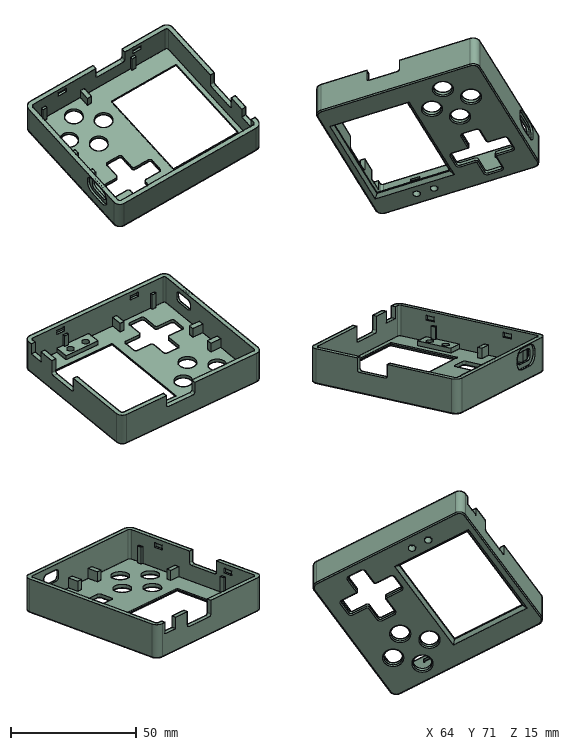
import cadquery as cq
LENGTH = 71.0
WIDTH = 64.0
HEIGHT = 15.0
WALL = 2.0
FLOOR = 2.0
OUTER_RADIUS = 3.0
INNER_RADIUS = OUTER_RADIUS - WALL
BOTTOM_CHAMFER = 0.5
INNER_X = WIDTH / 2 - WALL
INNER_Y = LENGTH / 2 - WALL

WINDOW_WIDTH = 42.3
WINDOW_LENGTH = 31.9
WINDOW_Y = 15.55
WINDOW_BEVEL = 1.35

CONTROLS_Y = -17.05
BUTTON_DIAMETER = 7.5
BUTTON_CENTRE_X = -15.3
BUTTON_OFFSET = 8.5
PAD_X = 15.3
PAD_SPAN = 24.6
PAD_ARM = 7.5
PAD_RADIUS = 1.0

BLOCK_WIDTH = 6.1
BLOCK_LENGTH = 16.0
BLOCK_HEIGHT = 2.0
BLOCK_Y = 12.65
BLOCK_HOLE_DIAMETER = 3.0
BLOCK_HOLE_X = 26.5
BLOCK_HOLE_SPACING = 7.6

SIDE_RIB_LENGTH = 4.9
RIB_TOP = 6.4
SIDE_RIB_THICKNESS = 2.0
SIDE_RIB_Y = -8.4
FRONT_RIB_LENGTH = 5.0
FRONT_RIB_THICKNESS = 2.3
FRONT_RIB_X = 5.95

POST_DEPTH = 1.0
POST_THICKNESS = 2.0
POST_TOP = 9.4
POST_YS = (16.5, -27.5)

SNAP_LENGTH = 4.0
SNAP_DEPTH = 1.0
SNAP_BOTTOM = 11.0
SNAP_HEIGHT = 2.0
SNAP_YS = (18.7, -18.25)

NOTCH_WIDTH = 14.2
SIDE_NOTCH_DEPTH = 5.95
BACK_NOTCH_DEPTH = 6.95
NOTCH_RADIUS = 1.0
SIDE_NOTCH_Y = 5.5
BACK_NOTCH_X = 6.6
SMALL_NOTCH_WIDTH = 6.4
SMALL_NOTCH_DEPTH = 5.05
SMALL_NOTCH_X = 24.1

PORT_X = 17.55
PORT_Z = 10.0
PORT_WIDTH = 9.0
PORT_HEIGHT = 5.05
PORT_RADIUS = 1.7
PORT_MARGIN = 2.0
PORT_RECESS_DEPTH = WALL / 2


def block(x_range, y_range, z_range):
    """Axis-aligned box between the given limits."""
    size = [high - low for low, high in (x_range, y_range, z_range)]
    corner = (x_range[0], y_range[0], z_range[0])
    return cq.Workplane("XY").box(*size, centered=False).translate(corner)


def around(centre, size):
    """Limits of a span of the given size about its centre."""
    return (centre - size / 2, centre + size / 2)


def wall_block(side, reach, y, thickness, top):
    """Block on the floor that reaches inward from the side wall (side is -1 or 1)."""
    x_range = sorted((side * INNER_X, side * (INNER_X - reach)))
    return block(x_range, around(y, thickness), (FLOOR, top))


def make_window():
    opening = (
        cq.Workplane("XY")
        .center(0, WINDOW_Y)
        .rect(WINDOW_WIDTH, WINDOW_LENGTH)
        .extrude(FLOOR)
    )
    bevel = (
        cq.Workplane("XY")
        .center(0, WINDOW_Y)
        .rect(WINDOW_WIDTH + 2 * WINDOW_BEVEL, WINDOW_LENGTH + 2 * WINDOW_BEVEL)
        .workplane(offset=WINDOW_BEVEL)
        .rect(WINDOW_WIDTH, WINDOW_LENGTH)
        .loft(ruled=True)
    )
    return opening.union(bevel)


def make_buttons():
    centres = [(BUTTON_OFFSET, 0), (-BUTTON_OFFSET, 0), (0, BUTTON_OFFSET), (0, -BUTTON_OFFSET)]
    return (
        cq.Workplane("XY")
        .center(BUTTON_CENTRE_X, CONTROLS_Y)
        .pushPoints(centres)
        .circle(BUTTON_DIAMETER / 2)
        .extrude(FLOOR)
    )


def make_pad():
    plane = cq.Workplane("XY").center(PAD_X, CONTROLS_Y)
    across = plane.rect(PAD_SPAN, PAD_ARM).extrude(FLOOR)
    along = plane.rect(PAD_ARM, PAD_SPAN).extrude(FLOOR)
    return across.union(along).edges("|Z").fillet(PAD_RADIUS)


def make_shell():
    """Tray with the control openings; one chamfer breaks every edge of its bottom face."""
    outer = (
        cq.Workplane("XY")
        .rect(WIDTH, LENGTH)
        .extrude(HEIGHT)
        .edges("|Z")
        .fillet(OUTER_RADIUS)
    )
    outer = outer.cut(make_buttons()).cut(make_pad())
    outer = outer.faces("<Z").edges().chamfer(BOTTOM_CHAMFER)
    cavity = (
        cq.Workplane("XY")
        .workplane(offset=FLOOR)
        .rect(2 * INNER_X, 2 * INNER_Y)
        .extrude(HEIGHT)
        .edges("|Z")
        .fillet(INNER_RADIUS)
    )
    return outer.cut(cavity)


def make_block_holes():
    return (
        cq.Workplane("XY")
        .center(BLOCK_HOLE_X, BLOCK_Y)
        .rarray(0.7, BLOCK_HOLE_SPACING, 1, 2)
        .circle(BLOCK_HOLE_DIAMETER / 2)
        .extrude(FLOOR + BLOCK_HEIGHT)
    )


def make_snap(side, y):
    x_range = sorted((side * INNER_X, side * (INNER_X + SNAP_DEPTH)))
    return block(x_range, around(y, SNAP_LENGTH), (SNAP_BOTTOM, SNAP_BOTTOM + SNAP_HEIGHT))


def make_side_notch():
    wall_x = (-WIDTH / 2, -INNER_X)
    notch = block(wall_x, around(SIDE_NOTCH_Y, NOTCH_WIDTH), (HEIGHT - SIDE_NOTCH_DEPTH, HEIGHT))
    return notch.faces("<Z").edges("|X").fillet(NOTCH_RADIUS)


def make_back_notches():
    wall_y = (INNER_Y, LENGTH / 2)
    wide = block(around(BACK_NOTCH_X, NOTCH_WIDTH), wall_y, (HEIGHT - BACK_NOTCH_DEPTH, HEIGHT))
    wide = wide.faces("<Z").edges("|Y").fillet(NOTCH_RADIUS)
    small_z = (HEIGHT - SMALL_NOTCH_DEPTH, HEIGHT)
    return wide.union(block(around(SMALL_NOTCH_X, SMALL_NOTCH_WIDTH), wall_y, small_z))


def make_port():
    """Rounded opening through the -Y wall inside a larger shallow recess."""
    def rounded_slot(margin, depth):
        return (
            cq.Workplane("XZ", origin=(PORT_X, -LENGTH / 2, PORT_Z))
            .rect(PORT_WIDTH + 2 * margin, PORT_HEIGHT + 2 * margin)
            .extrude(-depth)
            .edges("|Y")
            .fillet(PORT_RADIUS + margin)
        )

    return rounded_slot(0, WALL).union(rounded_slot(PORT_MARGIN, PORT_RECESS_DEPTH))


result = make_shell()

result = result.union(wall_block(1, BLOCK_WIDTH, BLOCK_Y, BLOCK_LENGTH, FLOOR + BLOCK_HEIGHT))
for side in (-1, 1):
    result = result.union(wall_block(side, SIDE_RIB_LENGTH, SIDE_RIB_Y, SIDE_RIB_THICKNESS, RIB_TOP))
    for post_y in POST_YS:
        result = result.union(wall_block(side, POST_DEPTH, post_y, POST_THICKNESS, POST_TOP))
    front_rib_x = around(side * FRONT_RIB_X, FRONT_RIB_THICKNESS)
    front_rib_y = (-INNER_Y, FRONT_RIB_LENGTH - INNER_Y)
    result = result.union(block(front_rib_x, front_rib_y, (FLOOR, RIB_TOP)))

for opening in (make_window(), make_block_holes()):
    result = result.cut(opening)

for opening in (make_side_notch(), make_back_notches(), make_port()):
    result = result.cut(opening)
for side in (-1, 1):
    for snap_y in SNAP_YS:
        result = result.cut(make_snap(side, snap_y))